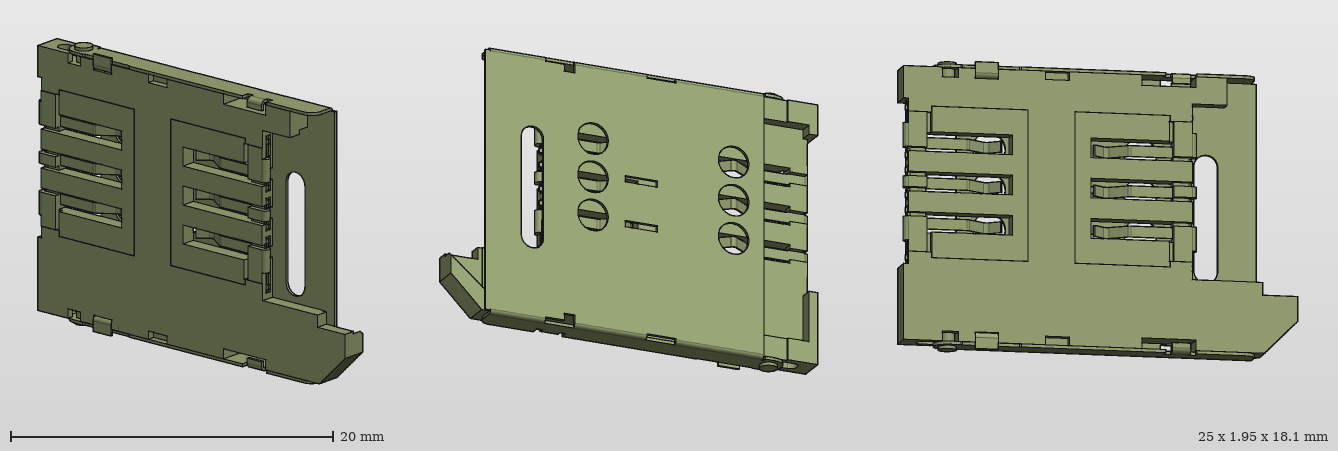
import cadquery as cq


LENGTH = 25.01
HALF_HEIGHT = 8.64
PLATE_THICKNESS = 0.93
WALL_DEPTH = 1.70
HINGE_END_DEPTH = 1.85
HINGE_END_LENGTH = 2.05
END_WALL = 0.60
CAVITY_HALF_HEIGHT = 7.2

PROUD = 0.05
TAIL_DEPTH = 0.56
LEFT_INSET = (TAIL_DEPTH + PROUD) / 2
LEFT_OPENING_TOP = 6.60
LEFT_OPENING_BOTTOM = -3.85
PLATE_END = 18.31
TOP_WALL_END = 20.52
TOP_WALL_BOTTOM = 6.92
LOWER_STEP_X = 22.78
LOWER_STEP_TOP = -4.17
CORNER_TOP = -4.97
CORNER_CHAMFER = 2.1

RAMP_START = 22.5
RAMP_FRONT = 0.83
RAMP_EDGE = 1.43
RAMP_TOP = -5.11
RAMP_EDGE_DROP = 0.2

ROW_PITCH = 2.54
ROW_CENTRE = 1.35
ROWS = [ROW_CENTRE + ROW_PITCH * i for i in (1, 0, -1)]
MIRROR_X = (LEFT_INSET + PLATE_END) / 2

SLOT_HEIGHT = 1.24
SLOT_START = 1.47
LEFT_SLOT_END = 6.88
RIGHT_SLOT_END = 11.87

PANEL_HALF_HEIGHT = 4.78
LEFT_PANEL = (1.77, 7.87)
RIGHT_PANEL = (10.85, 16.90)

PAD_RECESS_END = LEFT_PANEL[0]
PAD_RECESS_DEPTH = 0.30
OUTER_PAD_REACH = 1.88

OUTER_TAIL_REACH = 1.17

SPRING_WIDTH = 0.69
SPRING_THICKNESS = 0.10
SPRING_BASE = TAIL_DEPTH - SPRING_THICKNESS
SPRING_BEND = 4.20
SPRING_PEAK_X = 5.50
SPRING_PEAK = 1.48
SPRING_TIP_X = 6.32
SPRING_TIP = 0.70
SPRING_CURL = 0.10
SPRING_BEND_RADIUS = 0.3
CHANNEL_WIDTH = 0.75

WING_POCKET_DEPTH = 0.15
WING_POCKET = (0.33, 0.75)
WING = (0.40, 0.56)
INNER_WING_SPAN = (0.42, 1.06)
OUTER_WING_SPAN = (1.20, 2.58)
BARB_LENGTH = 0.12
BARB_HEIGHT = 0.30
INNER_BARB_OFFSET = 0.80
OUTER_BARB_OFFSET = 2.20

SHEET = 0.20
COVER_BACK = WALL_DEPTH + SHEET
COVER_HALF_HEIGHT = HALF_HEIGHT + SHEET
COVER_BEND_RADIUS = 0.25
SHEET_START = 3.70
SHEET_END = 22.73
FLANGE_END = 22.39
FLANGE_FRONT = 0.02
FLANGE_CORNER_RADIUS = 0.75

PIN_X = 2.96
PIN_Y = 0.92
PIN_RADIUS = 0.46
PIN_HEAD_RADIUS = 0.57
EAR_RADIUS = 0.90
EAR_SLIT_WIDTH = 0.12
EAR_SLIT_BOTTOM = 1.48
PIN_END_Z = 8.02
OUTER_HALF_HEIGHT = 9.05

HINGE_SLOT_START = 0.98
PIN_NOTCH_HALF_WIDTH = 0.51

BLIND_WINDOW = (9.00, 10.52)
BLIND_WINDOW_FLOOR = 8.10
BLIND_WINDOW_DEPTH = 0.50
LATCH_WINDOW = (15.11, 18.54)
LATCH_WINDOW_FLOOR = 7.97

COVER_NOTCHES = ((9.72, 11.70), (16.64, 18.62))
COVER_NOTCH_FLOOR = 8.50
COVER_NOTCH_FRONT = 1.68
LATCH_NOTCH_TOP = 0.55
LATCH_GAP_END = 17.35
LATCH_GAP_FLOOR = 8.05
LATCH = (17.05, 18.22)
LATCH_RADIUS = 0.33
LATCH_TIP = 8.18

GRIP_X = 18.77
GRIP_WIDTH = 1.52
GRIP_HEIGHT = 8.08

SPRING_HOLE_RADIUS = 1.04
LEFT_HOLE_X = 5.78
RIGHT_HOLE_X = 15.39
TONGUE_HALF_HEIGHT = 1.28
TONGUE_CENTRE = 0.08
TONGUE_SLIT_WIDTH = 0.42
TONGUE_SLITS = (11.0, 13.18)

HOLD_DOWN = (4.55, 6.00)
HOLD_DOWN_THICKNESS = 0.10
HOLD_DOWN_BOTTOM = 8.0
HOLD_DOWN_DEPTH = 0.45
HOLD_DOWN_RADIUS = 0.35
HOLD_DOWN_RELIEF = (3.60, 7.50)
RELIEF_SLOPE = 0.15


def block(x0, x1, y0, y1, z0, z1):
    """Box given by its limits along X, Y and Z."""
    return cq.Workplane("XY").box(x1 - x0, y1 - y0, z1 - z0, centered=False).translate((x0, y0, z0))


def on_both_sides(upper):
    """The shape at the +Z side together with its mirror image at the -Z side."""
    return [upper, upper.mirror("XY")]


def along_z(outline, z0, z1):
    """Extrude the outline drawn by outline(plane) in X and Y from z0 to z1."""
    return outline(cq.Workplane("XY").workplane(offset=z0)).extrude(z1 - z0)


def plate_outline():
    """Front outline of the housing through its full depth."""
    return (
        cq.Workplane("XZ")
        .moveTo(0, -HALF_HEIGHT)
        .lineTo(LENGTH - CORNER_CHAMFER, -HALF_HEIGHT)
        .lineTo(LENGTH, CORNER_CHAMFER - HALF_HEIGHT)
        .lineTo(LENGTH, CORNER_TOP)
        .lineTo(LOWER_STEP_X, CORNER_TOP)
        .lineTo(LOWER_STEP_X, LOWER_STEP_TOP)
        .lineTo(PLATE_END, LOWER_STEP_TOP)
        .lineTo(PLATE_END, TOP_WALL_BOTTOM)
        .lineTo(TOP_WALL_END, TOP_WALL_BOTTOM)
        .lineTo(TOP_WALL_END, HALF_HEIGHT)
        .lineTo(0, HALF_HEIGHT)
        .lineTo(0, LEFT_OPENING_TOP)
        .lineTo(LEFT_INSET, LEFT_OPENING_TOP)
        .lineTo(LEFT_INSET, LEFT_OPENING_BOTTOM)
        .lineTo(0, LEFT_OPENING_BOTTOM)
        .close()
        .extrude(-HINGE_END_DEPTH)
    )


def card_cavity():
    """Space for the card behind the plate, open at the left and at the lower right corner."""
    cavity = block(END_WALL, RAMP_START, PLATE_THICKNESS, HINGE_END_DEPTH,
                   -CAVITY_HALF_HEIGHT, CAVITY_HALF_HEIGHT)
    entry = block(0, END_WALL, PLATE_THICKNESS, HINGE_END_DEPTH,
                  LEFT_OPENING_BOTTOM, LEFT_OPENING_TOP)
    wall_tops = block(HINGE_END_LENGTH, LENGTH, WALL_DEPTH, HINGE_END_DEPTH, -HALF_HEIGHT, HALF_HEIGHT)
    return cavity.union(entry).union(wall_tops)


def ramp_cut():
    """Space above the sloping card ramp, whose back edge is bevelled."""
    ramp = (
        cq.Workplane("XZ", origin=(0, RAMP_FRONT, 0))
        .polyline(ramp_section(0)).close()
        .extrude(RAMP_FRONT - RAMP_EDGE)
    )
    bevel = (
        cq.Workplane("XZ", origin=(0, RAMP_EDGE, 0))
        .polyline(ramp_section(0)).close()
        .workplane(offset=RAMP_EDGE - WALL_DEPTH)
        .polyline(ramp_section(RAMP_EDGE_DROP)).close()
        .loft(ruled=True)
    )
    return ramp.union(bevel)


def ramp_section(drop):
    """Section of the space above the ramp, with the ramp lowered by drop."""
    return [
        (RAMP_START, -CAVITY_HALF_HEIGHT - drop),
        (LENGTH, RAMP_TOP - drop),
        (LENGTH, 0),
        (RAMP_START, 0),
    ]


def hinge_slot():
    """Slot for the cover's pin, with a notch that opens it to the front face."""
    slot_end = PIN_X + PIN_NOTCH_HALF_WIDTH
    slot = along_z(
        lambda plane: plane.center((HINGE_SLOT_START + slot_end) / 2, PIN_Y)
        .slot2D(slot_end - HINGE_SLOT_START, 2 * PIN_RADIUS),
        PIN_END_Z, HALF_HEIGHT)
    notch = block(PIN_X - PIN_NOTCH_HALF_WIDTH, slot_end, 0, PIN_Y, PIN_END_Z, HALF_HEIGHT)
    return slot.union(notch)


def hold_down():
    """Solder tab at the upper edge: flush with the pads, bent into the housing at its lower end."""
    x0, x1 = HOLD_DOWN
    foot = block(x0, x1, -PROUD, HOLD_DOWN_DEPTH, HOLD_DOWN_BOTTOM, HALF_HEIGHT)
    foot = foot.edges("|X and <Y and <Z").fillet(HOLD_DOWN_RADIUS)
    tab = block(x0, x1, -PROUD, HOLD_DOWN_THICKNESS, HALF_HEIGHT - HOLD_DOWN_THICKNESS, OUTER_HALF_HEIGHT)
    return foot.union(tab)


def hold_down_recess():
    """Recess in the housing's front edge that holds the bent end of the solder tab."""
    x0, x1 = HOLD_DOWN
    return block(x0, x1, 0, HOLD_DOWN_DEPTH, HOLD_DOWN_BOTTOM, HALF_HEIGHT)


def pad_span(row, reach):
    """Limits along Z of a pad or tail; those of the outer rows reach farther outwards."""
    if row == 0:
        return ROWS[row] - SPRING_WIDTH / 2, ROWS[row] + reach
    if row == 2:
        return ROWS[row] - reach, ROWS[row] + SPRING_WIDTH / 2
    return ROWS[row] - SPRING_WIDTH / 2, ROWS[row] + SPRING_WIDTH / 2


def pad_recess(row):
    """Recess around one contact pad at the left end of the plate, and the channel behind it."""
    low, high = pad_span(row, OUTER_PAD_REACH)
    slot_low = min(low, ROWS[row] - SLOT_HEIGHT / 2)
    slot_high = max(high, ROWS[row] + SLOT_HEIGHT / 2)
    recess = block(LEFT_INSET, PAD_RECESS_END, -PROUD, PAD_RECESS_DEPTH, slot_low, slot_high)
    channel = block(LEFT_INSET, SLOT_START, TAIL_DEPTH, PLATE_THICKNESS,
                    ROWS[row] - CHANNEL_WIDTH / 2, ROWS[row] + CHANNEL_WIDTH / 2)
    return recess.union(channel)


def contact(row):
    """One contact at the left end: front pad, rounded tail and bent spring."""
    pad_low, pad_high = pad_span(row, OUTER_PAD_REACH)
    pad = block(LEFT_INSET, SLOT_START, -PROUD, PAD_RECESS_DEPTH, pad_low, pad_high)

    tail_low, tail_high = pad_span(row, OUTER_TAIL_REACH)
    tail = along_z(
        lambda plane: plane.moveTo(LEFT_INSET, -PROUD)
        .threePointArc((0, LEFT_INSET - PROUD), (LEFT_INSET, TAIL_DEPTH))
        .close(),
        tail_low, tail_high)

    centre_line = [
        (LEFT_INSET, SPRING_BASE),
        (SPRING_BEND, SPRING_BASE),
        (SPRING_PEAK_X, SPRING_PEAK - SPRING_THICKNESS),
        (SPRING_TIP_X, SPRING_TIP),
        (SPRING_TIP_X + SPRING_CURL, SPRING_TIP + SPRING_CURL),
    ]
    back_line = [(x, y + SPRING_THICKNESS) for x, y in reversed(centre_line)]
    spring = along_z(lambda plane: plane.polyline(centre_line + back_line).close(),
                     ROWS[row] - SPRING_WIDTH / 2, ROWS[row] + SPRING_WIDTH / 2)
    for x in (SPRING_BEND, SPRING_PEAK_X):
        near, far = x - SPRING_THICKNESS, x + SPRING_THICKNESS
        bend = cq.selectors.BoxSelector((near, 0, -HALF_HEIGHT), (far, COVER_BACK, HALF_HEIGHT))
        spring = spring.edges("|Z").edges(bend).fillet(SPRING_BEND_RADIUS)
    return pad.union(tail).union(spring)


def wing_places():
    """Row height, side and kind (outer or not) of the wings above and below every contact."""
    last = len(ROWS) - 1
    return [
        (z, side, (row, side) in ((0, 1), (last, -1)))
        for row, z in enumerate(ROWS) for side in (1, -1)
    ]


def wing_block(x0, x1, depth, place):
    """Block over the span of one wing, between the two depths along Y."""
    z, side, is_outer = place
    span = OUTER_WING_SPAN if is_outer else INNER_WING_SPAN
    low, high = sorted(z + side * offset for offset in span)
    return block(x0, x1, *depth, low, high)


def wing_pocket(place):
    """Pocket in the left end of the plate around one wing."""
    return wing_block(LEFT_INSET, LEFT_INSET + WING_POCKET_DEPTH, WING_POCKET, place)


def wing(place):
    """Retaining wing flush with the left end of the plate, with its projecting barb."""
    z, side, is_outer = place
    centre = z + side * (OUTER_BARB_OFFSET if is_outer else INNER_BARB_OFFSET)
    barb = block(LEFT_INSET - BARB_LENGTH, LEFT_INSET + WING_POCKET_DEPTH, *WING,
                 centre - BARB_HEIGHT / 2, centre + BARB_HEIGHT / 2)
    return wing_block(LEFT_INSET, LEFT_INSET + WING_POCKET_DEPTH, WING, place).union(barb)


def at_right_end(shape):
    """Mirror a shape from the left end of the plate to its right end."""
    return shape.mirror("YZ", (MIRROR_X, 0, 0))


def make_housing():
    housing = plate_outline().cut(card_cavity()).cut(ramp_cut())

    for x0, x1 in (LEFT_PANEL, RIGHT_PANEL):
        housing = housing.union(block(x0, x1, -PROUD, PLATE_THICKNESS,
                                      ROW_CENTRE - PANEL_HALF_HEIGHT, ROW_CENTRE + PANEL_HALF_HEIGHT))

    rib_low = ROWS[-1] + SLOT_HEIGHT / 2
    rib_high = ROWS[0] - SLOT_HEIGHT / 2
    end_ribs = block(LEFT_INSET, LEFT_SLOT_END, -PROUD, PLATE_THICKNESS, rib_low, rib_high)
    housing = housing.union(end_ribs).union(at_right_end(end_ribs))

    right_slot_start = 2 * MIRROR_X - SLOT_START
    for z in ROWS:
        for x0, x1 in ((SLOT_START, LEFT_SLOT_END), (RIGHT_SLOT_END, right_slot_start)):
            housing = housing.cut(block(x0, x1, -PROUD, PLATE_THICKNESS,
                                        z - SLOT_HEIGHT / 2, z + SLOT_HEIGHT / 2))

    edge_cuts = [
        hinge_slot(),
        hold_down_recess(),
        block(*BLIND_WINDOW, 0, BLIND_WINDOW_DEPTH, BLIND_WINDOW_FLOOR, HALF_HEIGHT),
        block(*LATCH_WINDOW, 0, WALL_DEPTH, LATCH_WINDOW_FLOOR, HALF_HEIGHT),
    ]
    for edge_cut in edge_cuts:
        for cut in on_both_sides(edge_cut):
            housing = housing.cut(cut)
    for tab in on_both_sides(hold_down()):
        housing = housing.union(tab)

    for row in range(len(ROWS)):
        recess = pad_recess(row)
        housing = housing.cut(recess).cut(at_right_end(recess))
    for place in wing_places():
        pocket = wing_pocket(place)
        housing = housing.cut(pocket).cut(at_right_end(pocket))
    for piece in [contact(row) for row in range(len(ROWS))] + [wing(place) for place in wing_places()]:
        housing = housing.union(piece).union(at_right_end(piece))
    return housing


def folded_sheet():
    """Back sheet with a flange folded forward along each long edge."""
    outer = block(SHEET_START, FLANGE_END, FLANGE_FRONT, COVER_BACK, -COVER_HALF_HEIGHT, COVER_HALF_HEIGHT)
    outer = outer.edges("|X and >Y").fillet(COVER_BEND_RADIUS)
    outer = outer.edges("|Z and <Y and >X").fillet(FLANGE_CORNER_RADIUS)
    inner = block(SHEET_START, FLANGE_END, 0, WALL_DEPTH, -HALF_HEIGHT, HALF_HEIGHT)
    end_strip = block(FLANGE_END, SHEET_END, WALL_DEPTH, COVER_BACK, -HALF_HEIGHT, HALF_HEIGHT)
    return outer.cut(inner).union(end_strip)


def hinge_ear():
    """Round ear at the end of the upper flange with its headed pin."""
    ear = along_z(lambda plane: plane.center(PIN_X, PIN_Y).circle(EAR_RADIUS), HALF_HEIGHT, COVER_HALF_HEIGHT)
    neck = block(PIN_X, SHEET_START, FLANGE_FRONT, EAR_SLIT_BOTTOM, HALF_HEIGHT, COVER_HALF_HEIGHT)
    shoulder = block(PIN_X, SHEET_START - EAR_SLIT_WIDTH, PIN_Y, PIN_Y + EAR_RADIUS,
                     HALF_HEIGHT, COVER_HALF_HEIGHT)
    pin = along_z(lambda plane: plane.center(PIN_X, PIN_Y).circle(PIN_RADIUS), PIN_END_Z, HALF_HEIGHT)
    head = along_z(lambda plane: plane.center(PIN_X, PIN_Y).circle(PIN_HEAD_RADIUS),
                   COVER_HALF_HEIGHT, OUTER_HALF_HEIGHT)
    return ear.union(neck).union(shoulder).union(pin).union(head)


def latch():
    """Tongue of the upper flange, curled inwards at the front edge."""
    x0, x1 = LATCH
    outer = block(x0, x1, 0, LATCH_NOTCH_TOP, LATCH_TIP, COVER_HALF_HEIGHT)
    outer = outer.edges("|X and <Y and >Z").fillet(LATCH_RADIUS)
    inner = block(x0, x1, SHEET, LATCH_NOTCH_TOP, LATCH_TIP, HALF_HEIGHT)
    inner = inner.edges("|X and <Y and >Z").fillet(LATCH_RADIUS - SHEET)
    return outer.cut(inner)


def hold_down_relief():
    """Shallow trapezoid cut from the front edge of the upper flange around the solder tab."""
    x0, x1 = HOLD_DOWN_RELIEF
    return along_z(
        lambda plane: plane.moveTo(x0, 0)
        .lineTo(x0 + RELIEF_SLOPE, HOLD_DOWN_THICKNESS)
        .lineTo(x1 - RELIEF_SLOPE, HOLD_DOWN_THICKNESS)
        .lineTo(x1, 0)
        .close(),
        HALF_HEIGHT, COVER_HALF_HEIGHT)


def cover_openings():
    """Holes through the back sheet."""
    sheet_plane = cq.Workplane("XZ")
    grip = sheet_plane.center(GRIP_X + GRIP_WIDTH / 2, 0).slot2D(GRIP_HEIGHT, GRIP_WIDTH, 90)
    openings = [grip.extrude(-COVER_BACK)]
    for x in (LEFT_HOLE_X, RIGHT_HOLE_X):
        for z in ROWS:
            openings.append(cq.Workplane("XZ").center(x, z).circle(SPRING_HOLE_RADIUS).extrude(-COVER_BACK))
    for low in (TONGUE_HALF_HEIGHT, -TONGUE_HALF_HEIGHT - TONGUE_SLIT_WIDTH):
        z0 = TONGUE_CENTRE + low
        openings.append(block(*TONGUE_SLITS, WALL_DEPTH, COVER_BACK, z0, z0 + TONGUE_SLIT_WIDTH))
    return openings


def make_cover():
    cover = folded_sheet()
    for ear in on_both_sides(hinge_ear()):
        cover = cover.union(ear)

    edge_cuts = [hold_down_relief()]
    latch_notch = COVER_NOTCHES[1]
    edge_cuts.append(block(*latch_notch, 0, LATCH_NOTCH_TOP, HALF_HEIGHT, COVER_HALF_HEIGHT))
    edge_cuts.append(block(latch_notch[0], LATCH_GAP_END, COVER_NOTCH_FRONT, COVER_BACK,
                           LATCH_GAP_FLOOR, COVER_HALF_HEIGHT))
    for x0, x1 in COVER_NOTCHES:
        edge_cuts.append(block(x0, x1, COVER_NOTCH_FRONT, COVER_BACK, COVER_NOTCH_FLOOR, COVER_HALF_HEIGHT))
    for edge_cut in edge_cuts:
        for cut in on_both_sides(edge_cut):
            cover = cover.cut(cut)

    for tongue in on_both_sides(latch()):
        cover = cover.union(tongue)
    for opening in cover_openings():
        cover = cover.cut(opening)
    return cover


housing = make_housing()
cover = make_cover()

result = cq.Compound.makeCompound([*housing.vals(), *cover.vals()])